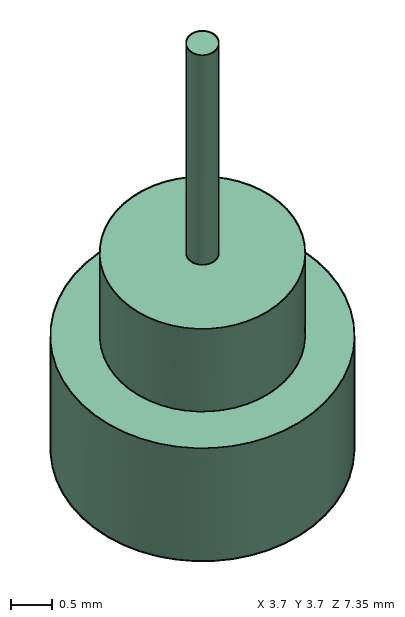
import cadquery as cq

base_diameter = 3.7
base_height = 2.05
collar_diameter = 2.5
collar_height = 1.5
insert_diameter = 1.95
pin_diameter = 0.4
total_height = 7.35

collar_top = base_height + collar_height


def cylinder(diameter, bottom, top):
    """Solid cylinder on the Z axis between two heights."""
    return cq.Workplane("XY").workplane(offset=bottom).circle(diameter / 2).extrude(top - bottom)


def make_body():
    """Wide base carrying a collar with a round pocket for the insert."""
    base = cylinder(base_diameter, 0, base_height)
    collar = cylinder(collar_diameter, base_height, collar_top)
    pocket = cylinder(insert_diameter, base_height, collar_top)
    return base.union(collar).cut(pocket)


body = make_body()
insert = cylinder(insert_diameter, base_height, collar_top)
pin = cylinder(pin_diameter, collar_top, total_height)

result = body.union(insert, clean=False).union(pin, clean=False)